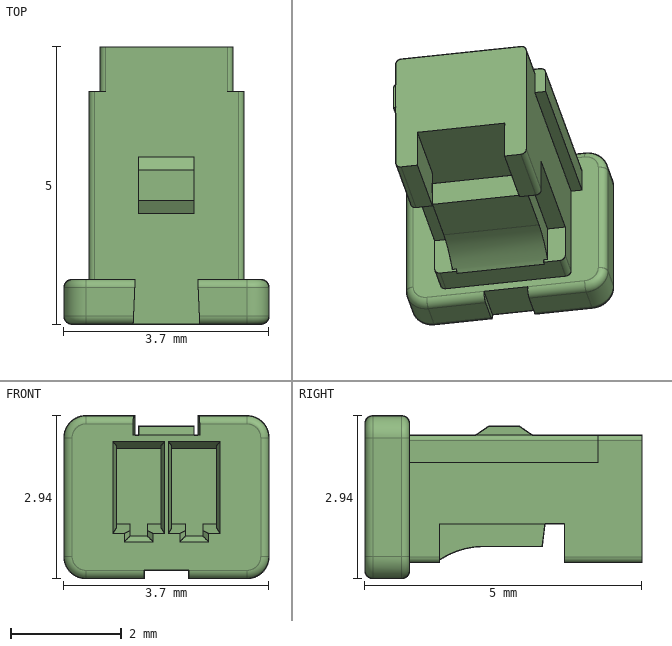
import cadquery as cq

FLANGE_WIDTH = 3.7
FLANGE_DEPTH = 0.81
FLANGE_HEIGHT = 2.94
FLANGE_CORNER_RADIUS = 0.4
FLANGE_EDGE_RADIUS = 0.15

LENGTH = 5
BODY_WIDTH = 2.4
BODY_TOP = 2.59
BODY_BOTTOM = 0.29
BODY_EDGE_RADIUS = 0.1

SHOULDER_WIDTH = 2.8
SHOULDER_END = 4.2
SHOULDER_HEIGHT = 0.5

TOP_NOTCH_FRONT_WIDTH = 1.2
TOP_NOTCH_BACK_WIDTH = 1.13
BOTTOM_NOTCH_WIDTH = 0.8
BOTTOM_NOTCH_DEPTH = FLANGE_EDGE_RADIUS

CHANNEL_WIDTH = 1.6
CHANNEL_ROOF = 0.99
WINDOW_START = 1.35
WINDOW_END = 3.6

TONGUE_WIDTH = 1.75
TONGUE_TOP_END = 3.25
TONGUE_BOTTOM_END = 3.2
TONGUE_BOTTOM = 0.58
TONGUE_CURVE_START = 2.15
TONGUE_CURVE_RADIUS = 1.45

TAB_WIDTH = 1
TAB_HEIGHT = 0.16
TAB_CENTER = 2.51
TAB_BASE_LENGTH = 1.02
TAB_TOP_LENGTH = 0.55

POCKET_PITCH = 1
POCKET_DEPTH = 0.35
POCKET_MOUTH_WIDTH = 0.93
POCKET_WIDTH = 0.81
POCKET_TAPER_DEPTH = 0.2
POCKET_MOUTH_TOP = 2.47
POCKET_BACK_TOP = 2.345
POCKET_MOUTH_BOTTOM = 0.815
POCKET_BACK_BOTTOM = 0.99

KEY_WIDTH = 0.31
KEY_BOTTOM = 0.77
KEY_CHAMFER = 0.105


def box(width, y_start, y_end, z_bottom, z_top):
    """Block centred on X = 0."""
    return (
        cq.Workplane("XY")
        .box(width, y_end - y_start, z_top - z_bottom, centered=(True, False, False))
        .translate((0, y_start, z_bottom))
    )


def side_extrusion(points, width):
    """Closed (Y, Z) outline extruded along X, centred on X = 0."""
    return cq.Workplane("YZ").polyline(points).close().extrude(width / 2, both=True)


def plan_extrusion(points, z_bottom, z_top):
    """Closed (X, Y) outline extruded upwards."""
    return cq.Workplane("XY", origin=(0, 0, z_bottom)).polyline(points).close().extrude(z_top - z_bottom)


def make_flange():
    flange = box(FLANGE_WIDTH, 0, FLANGE_DEPTH, 0, FLANGE_HEIGHT)
    flange = flange.edges("|Y").fillet(FLANGE_CORNER_RADIUS)
    flange = flange.faces("<Y or >Y").edges().fillet(FLANGE_EDGE_RADIUS)

    front = TOP_NOTCH_FRONT_WIDTH / 2
    back = TOP_NOTCH_BACK_WIDTH / 2
    top_notch = plan_extrusion(
        [(-front, 0), (front, 0), (back, FLANGE_DEPTH), (-back, FLANGE_DEPTH)],
        BODY_TOP,
        FLANGE_HEIGHT,
    )
    bottom_notch = box(BOTTOM_NOTCH_WIDTH, 0, FLANGE_DEPTH, 0, BOTTOM_NOTCH_DEPTH)
    return flange.cut(top_notch).cut(bottom_notch)


def make_body():
    start = FLANGE_DEPTH / 2
    core = box(BODY_WIDTH, start, LENGTH, BODY_BOTTOM, BODY_TOP)
    core = core.edges("|Y").fillet(BODY_EDGE_RADIUS)
    shoulders = box(SHOULDER_WIDTH, start, SHOULDER_END, BODY_TOP - SHOULDER_HEIGHT, BODY_TOP)
    shoulders = shoulders.edges("|Y and >Z").fillet(BODY_EDGE_RADIUS)

    channel = box(CHANNEL_WIDTH, FLANGE_DEPTH, LENGTH, 0, CHANNEL_ROOF)
    window = box(BODY_WIDTH, WINDOW_START, WINDOW_END, 0, CHANNEL_ROOF)
    return core.cut(channel).cut(window).union(shoulders)


def make_tongue():
    drop = TONGUE_BOTTOM - BODY_BOTTOM
    curve_length = (TONGUE_CURVE_RADIUS**2 - (TONGUE_CURVE_RADIUS - drop) ** 2) ** 0.5
    return (
        cq.Workplane("YZ")
        .moveTo(FLANGE_DEPTH, CHANNEL_ROOF)
        .lineTo(TONGUE_TOP_END, CHANNEL_ROOF)
        .lineTo(TONGUE_BOTTOM_END, TONGUE_BOTTOM)
        .lineTo(TONGUE_CURVE_START, TONGUE_BOTTOM)
        .tangentArcPoint((TONGUE_CURVE_START - curve_length, BODY_BOTTOM), relative=False)
        .lineTo(FLANGE_DEPTH, BODY_BOTTOM)
        .close()
        .extrude(TONGUE_WIDTH / 2, both=True)
    )


def make_tab():
    base = TAB_BASE_LENGTH / 2
    top = TAB_TOP_LENGTH / 2
    return side_extrusion(
        [
            (TAB_CENTER - base, BODY_TOP),
            (TAB_CENTER - top, BODY_TOP + TAB_HEIGHT),
            (TAB_CENTER + top, BODY_TOP + TAB_HEIGHT),
            (TAB_CENTER + base, BODY_TOP),
        ],
        TAB_WIDTH,
    )


def make_pocket():
    slopes = side_extrusion(
        [
            (0, POCKET_MOUTH_BOTTOM),
            (POCKET_DEPTH, POCKET_BACK_BOTTOM),
            (POCKET_DEPTH, POCKET_BACK_TOP),
            (0, POCKET_MOUTH_TOP),
        ],
        POCKET_MOUTH_WIDTH,
    )
    mouth = POCKET_MOUTH_WIDTH / 2
    inner = POCKET_WIDTH / 2
    side_walls = plan_extrusion(
        [
            (-mouth, 0),
            (mouth, 0),
            (inner, POCKET_TAPER_DEPTH),
            (inner, POCKET_DEPTH),
            (-inner, POCKET_DEPTH),
            (-inner, POCKET_TAPER_DEPTH),
        ],
        POCKET_MOUTH_BOTTOM,
        POCKET_MOUTH_TOP,
    )
    return slopes.intersect(side_walls)


def make_key_slot():
    slot_top = POCKET_BACK_BOTTOM
    mouth_bottom = KEY_BOTTOM - KEY_CHAMFER
    floor = side_extrusion(
        [
            (0, mouth_bottom),
            (KEY_CHAMFER, KEY_BOTTOM),
            (POCKET_DEPTH, KEY_BOTTOM),
            (POCKET_DEPTH, slot_top),
            (0, slot_top),
        ],
        POCKET_WIDTH,
    )
    inner = KEY_WIDTH / 2
    mouth = inner + KEY_CHAMFER
    side_walls = plan_extrusion(
        [
            (-mouth, 0),
            (mouth, 0),
            (inner, KEY_CHAMFER),
            (inner, POCKET_DEPTH),
            (-inner, POCKET_DEPTH),
            (-inner, KEY_CHAMFER),
        ],
        mouth_bottom,
        slot_top,
    )
    return floor.intersect(side_walls)


result = make_flange().union(make_body()).union(make_tongue()).union(make_tab())

contact_opening = make_pocket().union(make_key_slot())
for side in (-1, 1):
    result = result.cut(contact_opening.translate((side * POCKET_PITCH / 2, 0, 0)))